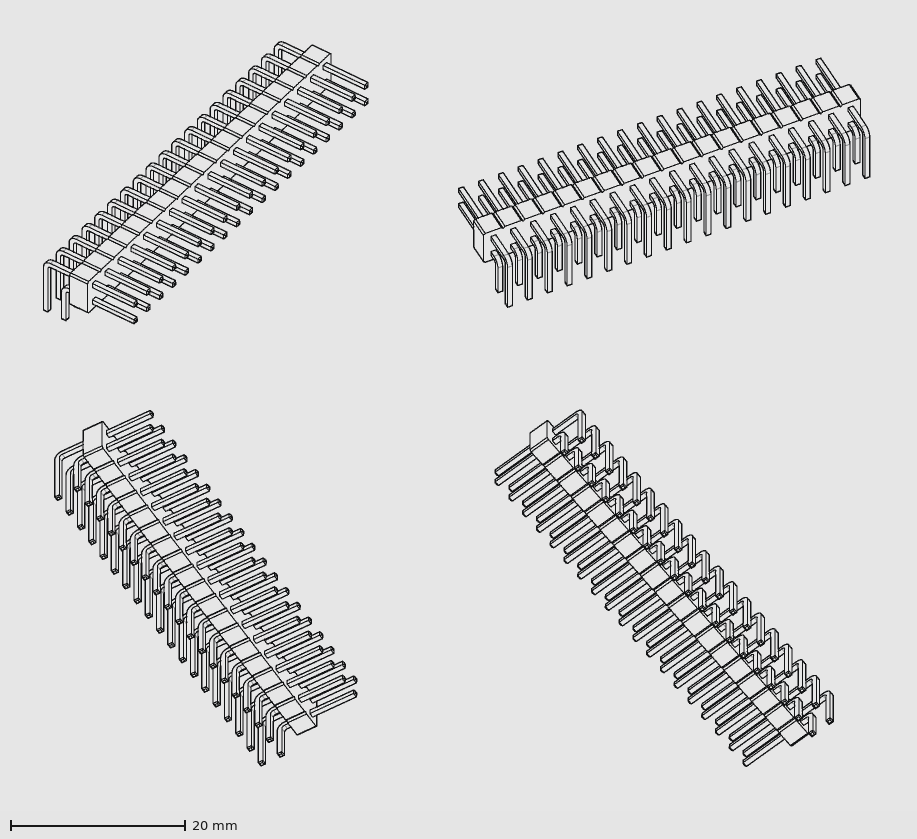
import cadquery as cq


length = 48.25
positions = 19
pitch = length / positions
body_width = pitch
body_height = 4.87
bevel = 0.23

pin_size = 0.65
tip_chamfer = 0.15
bend_inner_radius = 0.4
bend_outer_radius = bend_inner_radius + pin_size
tip_reach = 6.0
overall_width = 12.9
overall_height = 8.75

tip_x = body_width / 2 + tip_reach
outer_leg_x = tip_x - overall_width + pin_size / 2
foot_z = body_height / 2 - overall_height
segment_centers = [(i - (positions - 1) / 2) * pitch for i in range(positions)]


def body_segment():
    """One pitch of the body: a block with its four X-direction edges bevelled."""
    half_y = pitch / 2
    half_z = body_height / 2
    flat_y = half_y - bevel
    side_z = half_z - bevel
    outline = [
        (-flat_y, -half_z),
        (flat_y, -half_z),
        (half_y, -side_z),
        (half_y, side_z),
        (flat_y, half_z),
        (-flat_y, half_z),
        (-half_y, side_z),
        (-half_y, -side_z),
    ]
    return cq.Workplane("YZ").polyline(outline).close().extrude(body_width / 2, both=True)


def bent_pin(leg_x, arm_z):
    """A square pin: an arm along X at height arm_z, bent down into a leg at leg_x."""
    half = pin_size / 2
    pin = (
        cq.Workplane("XZ")
        .moveTo(tip_x, arm_z + half)
        .lineTo(leg_x - half + bend_outer_radius, arm_z + half)
        .radiusArc((leg_x - half, arm_z + half - bend_outer_radius), -bend_outer_radius)
        .lineTo(leg_x - half, foot_z)
        .lineTo(leg_x + half, foot_z)
        .lineTo(leg_x + half, arm_z - half - bend_inner_radius)
        .radiusArc((leg_x + half + bend_inner_radius, arm_z - half), bend_inner_radius)
        .lineTo(tip_x, arm_z - half)
        .close()
        .extrude(half, both=True)
    )
    return pin.faces(">X or <Z").chamfer(tip_chamfer)


outer_pin = bent_pin(outer_leg_x, pitch / 2)
inner_pin = bent_pin(outer_leg_x + pitch, -pitch / 2)
position_unit = body_segment().union(outer_pin).union(inner_pin)

result = position_unit.translate((0, segment_centers[0], 0))
for center_y in segment_centers[1:]:
    result = result.union(position_unit.translate((0, center_y, 0)))